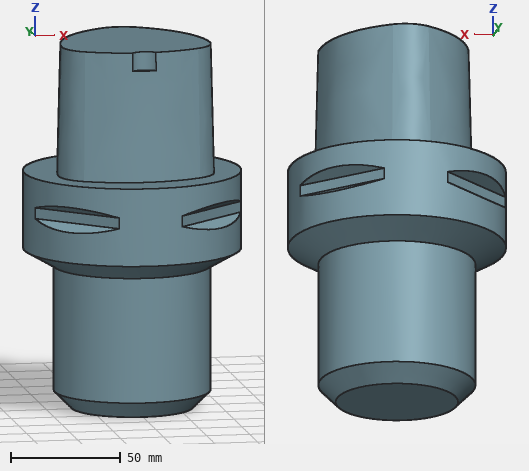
import cadquery as cq
import math


shank_diameter = 72.0
shank_end_z = -110.0
shank_chamfer = 8.0
flange_diameter = 100.0
flange_rim_height = 36.0
flange_cone_angle = 30.0

taper_height = 60.0
taper_base_width = shank_diameter
lobe_radius = taper_base_width / 4
flank_radius = taper_base_width - lobe_radius
lobe_half_span = 30.0
lobe_directions = (90.0, 210.0, 330.0)
flank_half_span = 180.0 / len(lobe_directions) - lobe_half_span
lobe_center_offset = (flank_radius - lobe_radius) / math.sqrt(3)
taper_ratio = 1 / 40
taper_angle = math.degrees(math.atan(taper_ratio))

notch_radius = 7.0
notch_center_y = -taper_base_width / 2
notch_depth = 8.5

groove_count = 4
groove_first_angle = 45.0
groove_center_z = -16.0
groove_floor_distance = 44.2
groove_floor_width = 5.0
groove_wall_angle = 30.0
cutter_clearance = 2.0
groove_outer_distance = flange_diameter / 2 + cutter_clearance


def polar_point(center, radius, angle):
    """Point at the given radius and angle (degrees) about a center."""
    angle_rad = math.radians(angle)
    return (
        center[0] + radius * math.cos(angle_rad),
        center[1] + radius * math.sin(angle_rad),
    )


def make_body():
    """Shank and conical-backed flange as one turned solid."""
    shank_radius = shank_diameter / 2
    flange_radius = flange_diameter / 2
    cone_height = (flange_radius - shank_radius) * math.tan(math.radians(flange_cone_angle))
    return (
        cq.Workplane("XZ")
        .moveTo(0, 0)
        .lineTo(flange_radius, 0)
        .lineTo(flange_radius, -flange_rim_height)
        .lineTo(shank_radius, -flange_rim_height - cone_height)
        .lineTo(shank_radius, shank_end_z + shank_chamfer)
        .lineTo(shank_radius - shank_chamfer, shank_end_z)
        .lineTo(0, shank_end_z)
        .close()
        .revolve(360, (0, 0), (0, 1))
    )


def make_taper():
    """Three-lobed tapered polygon rising from the flange face."""
    origin = (0, 0)
    start_center = polar_point(origin, lobe_center_offset, lobe_directions[0])
    start = polar_point(start_center, lobe_radius, lobe_directions[0] - lobe_half_span)
    outline = cq.Workplane("XY").moveTo(*start)
    for direction in lobe_directions:
        lobe_center = polar_point(origin, lobe_center_offset, direction)
        lobe_tip = polar_point(lobe_center, lobe_radius, direction)
        lobe_end = polar_point(lobe_center, lobe_radius, direction + lobe_half_span)
        outline = outline.threePointArc(lobe_tip, lobe_end)

        flank_direction = direction + lobe_half_span + flank_half_span
        flank_center = polar_point(origin, lobe_center_offset, flank_direction + 180)
        flank_middle = polar_point(flank_center, flank_radius, flank_direction)
        flank_end = polar_point(flank_center, flank_radius, flank_direction + flank_half_span)
        outline = outline.threePointArc(flank_middle, flank_end)
    return outline.close().extrude(taper_height, taper=taper_angle)


def make_notch():
    """Upright round cutter for the locating notch."""
    return (
        cq.Workplane("XY", origin=(0, notch_center_y, taper_height - notch_depth))
        .circle(notch_radius)
        .extrude(notch_depth)
    )


def make_groove(angle):
    """Straight flared groove cutter, facing outward at the given angle about Z."""
    floor_half = groove_floor_width / 2
    flare = (groove_outer_distance - groove_floor_distance) * math.tan(math.radians(groove_wall_angle))
    outer_half = floor_half + flare
    return (
        cq.Workplane("XZ", origin=(0, 0, groove_center_z))
        .moveTo(groove_floor_distance, -floor_half)
        .lineTo(groove_outer_distance, -outer_half)
        .lineTo(groove_outer_distance, outer_half)
        .lineTo(groove_floor_distance, floor_half)
        .close()
        .extrude(flange_diameter / 2, both=True)
        .rotate((0, 0, 0), (0, 0, 1), angle)
    )


result = make_body().union(make_taper()).cut(make_notch())
for index in range(groove_count):
    groove_angle = groove_first_angle + index * 360 / groove_count
    result = result.cut(make_groove(groove_angle))